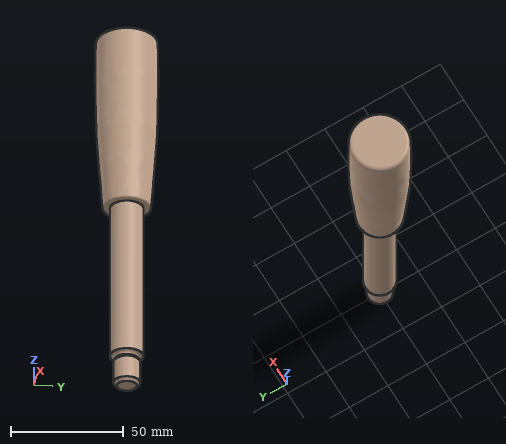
import cadquery as cq

total_length = 175.0
shoulder_z = 15.0
grip_bottom_z = 90.0
grip_waist_z = 126.4

grip_radius = 14.0
grip_rim_radius = 13.8
grip_waist_radius = 13.5
grip_bottom_radius = 10.8
taper_bulge = 0.09
top_rounding = 1.8
bottom_rounding = 0.9

shaft_radius = 15.0 / 2
thread_radius = 12.0 / 2
tip_radius = 4.5
tip_chamfer_height = 1.5
undercut_radius = 10.0 / 2
undercut_fillet = 1.5
undercut_chamfer_height = 1.4


def make_grip():
    """Revolved handle with rounded top and bottom edges."""
    barrel_top_z = total_length
    barrel_middle_z = (barrel_top_z + grip_waist_z) / 2
    taper_middle_z = (grip_waist_z + grip_bottom_z) / 2
    taper_middle_radius = (grip_waist_radius + grip_bottom_radius) / 2 + taper_bulge
    grip = (
        cq.Workplane("XZ")
        .moveTo(0, grip_bottom_z)
        .lineTo(grip_bottom_radius, grip_bottom_z)
        .threePointArc((taper_middle_radius, taper_middle_z), (grip_waist_radius, grip_waist_z))
        .threePointArc((grip_radius, barrel_middle_z), (grip_rim_radius, barrel_top_z))
        .lineTo(0, barrel_top_z)
        .close()
        .revolve(360, (0, 0, 0), (0, 1, 0))
    )
    grip = grip.faces(">Z").edges().fillet(top_rounding)
    return grip.faces("<Z").edges().fillet(bottom_rounding)


def make_rod():
    """Revolved shaft with an undercut below the shoulder and a chamfered thread end."""
    undercut_z = shoulder_z - undercut_fillet
    thread_top_z = undercut_z - undercut_chamfer_height
    arc_offset = undercut_fillet * (1 - 0.5 ** 0.5)
    return (
        cq.Workplane("XZ")
        .lineTo(tip_radius, 0)
        .lineTo(thread_radius, tip_chamfer_height)
        .lineTo(thread_radius, thread_top_z)
        .lineTo(undercut_radius, undercut_z)
        .threePointArc(
            (undercut_radius + arc_offset, shoulder_z - arc_offset),
            (undercut_radius + undercut_fillet, shoulder_z),
        )
        .lineTo(shaft_radius, shoulder_z)
        .lineTo(shaft_radius, grip_waist_z)
        .lineTo(0, grip_waist_z)
        .close()
        .revolve(360, (0, 0, 0), (0, 1, 0))
    )


result = make_grip().union(make_rod())